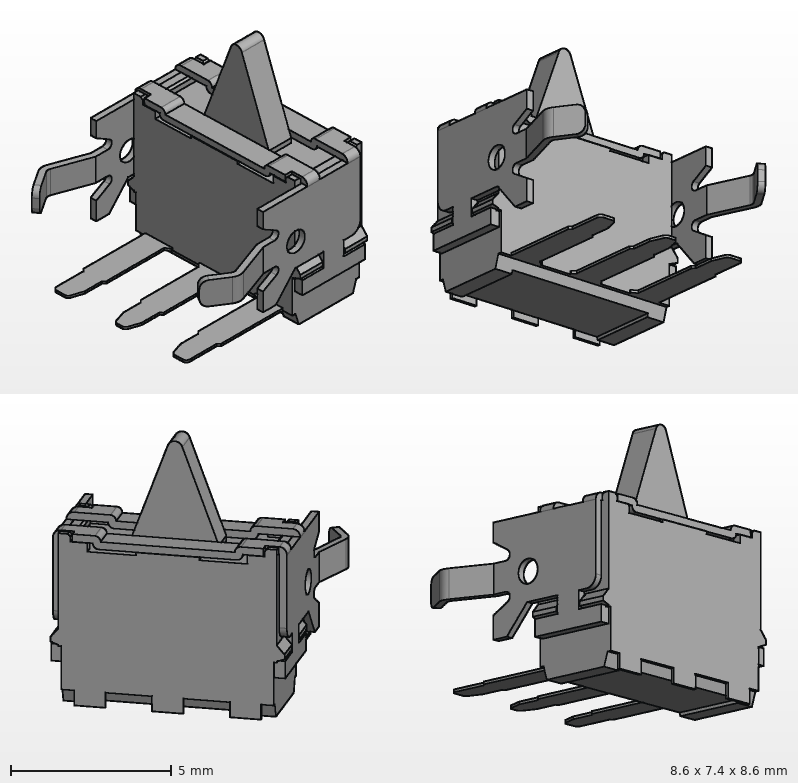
import cadquery as cq
import math


HOUSING_HALF_X = 3.5
HOUSING_HALF_Y = 1.5
BASE_HALF_X = 3.405
BASE_STEP_Z = 1.92
BASE_BOTTOM_Z = 0.035
TAPER_TOP_Z = 0.5
TAPER_TOP_HALF_Y = 1.36
TAPER_BOTTOM_HALF_Y = 1.21
CHANNEL_HALF_X = 2.74
CHANNEL_TOP_Z = 0.155

RIM_TOP_Z = 5.375
FLOOR_Z = 5.09
WALL_OPENING_HALF_X = 2.56
RIM_INNER_X = 3.11
CORNER_DEPTH_Y = 0.28
CORNER_CHAMFER = 0.08
OUTER_PAD_HALF_X = 1.015
INNER_PAD_HALF_X = 0.74

HOOK_INNER_Y = 0.5
HOOK_TOP_Z = 2.485
HOOK_NOSE_TOP_Z = 2.2
HOOK_NOSE_BOTTOM_Z = 2.05
HOOK_BOTTOM_Z = 1.95

LEVER_TOP_Z = 8.6
LEVER_TIP_RADIUS = 0.25
LEVER_HALF_X = 1.41
LEVER_WIDTH_Y = 1.0
LEVER_TAPER_Z = 5.28

TERMINAL_THICKNESS = 0.095
TERMINAL_PITCH = 2.49
TERMINAL_HALF_WIDTH = 0.5
NECK_HALF_WIDTH = 0.4
TIP_HALF_WIDTH = 0.215
MIDDLE_SHOULDER = 0.12
OUTER_SHOULDER = 0.2
SHOULDER_STRAIGHT = 0.06
SHOULDER_LENGTH = 0.17
NECK_START_Y = -4.265
NECK_END_Y = -4.35
TIP_TAPER_Y = -5.13
TERMINAL_END_Y = -5.71
TERMINAL_TIP_RADIUS = 0.155

SHEET = 0.25
FRAME_OUTER_X = HOUSING_HALF_X + SHEET
FRAME_TOP_Z = RIM_TOP_Z + SHEET
STRIP_DROP = 0.19
CRANK_TOP_X = 2.15
CRANK_BOTTOM_X = CRANK_TOP_X + SHEET
STRIP_INNER_Y = 0.62
STRIP_OUTER_Y = 1.47
NOTCH_Y = 1.18
NOTCH_X = 3.06
PLATE_CORNER_RADIUS = 0.4
PLATE_BOTTOM_Z = 2.56
STEM_HALF_Y = 0.45
FOOT_HALF_Y = 1.4
FOOT_TOP_Z = 1.95
FOOT_BOTTOM_Z = 1.385
FORK_END_Y = -3.165
FORK_ROOT_Y = -1.73
FORK_TOE_Y = -2.59
FORK_BOTTOM_Z = 1.6
FORK_NOTCH_Y = -2.65
FORK_NOTCH_RADIUS = 0.18
FORK_NOTCH_ANGLE = math.radians(29)
HOLE_Y = -1.69
HOLE_RADIUS = 0.4

LEAF_Z = 3.55
LEAF_HALF_WIDTH = 0.5
LEAF_END_Y = -5.9
LEAF_OUT_ANGLE = math.radians(20)
LEAF_IN_ANGLE = math.radians(33)
ELBOW_OUTER_RADIUS = 2 * SHEET
ELBOW_X = -4.3 + ELBOW_OUTER_RADIUS
ELBOW_Y = -4.75
LEAF_TIP_RADIUS = 0.3


def box(x0, x1, y0, y1, z0, z1):
    """Block between the given limits."""
    return cq.Workplane("XY").box(x1 - x0, y1 - y0, z1 - z0, centered=False).translate((x0, y0, z0))


def symmetric_box(half_x, half_y, z0, z1):
    """Block centred on the Z axis."""
    return box(-half_x, half_x, -half_y, half_y, z0, z1)


def prism_along_y(points, y0, y1):
    """Outline of (x, z) points swept from y0 to y1."""
    return cq.Workplane("XZ", origin=(0, y1, 0)).polyline(points).close().extrude(y1 - y0)


def both_sides(shape):
    """Shape joined with its mirror image across the YZ plane."""
    return shape.union(shape.mirror("YZ"))


def front_and_rear(shape):
    """Shape joined with its mirror image across the XZ plane."""
    return shape.union(shape.mirror("XZ"))



def housing_block():
    upper = symmetric_box(HOUSING_HALF_X, HOUSING_HALF_Y, BASE_STEP_Z, RIM_TOP_Z)
    lower = symmetric_box(BASE_HALF_X, HOUSING_HALF_Y, TAPER_TOP_Z, BASE_STEP_Z)
    taper = (
        cq.Workplane("YZ", origin=(-BASE_HALF_X, 0, 0))
        .polyline([
            (-TAPER_TOP_HALF_Y, TAPER_TOP_Z),
            (-TAPER_BOTTOM_HALF_Y, BASE_BOTTOM_Z),
            (TAPER_BOTTOM_HALF_Y, BASE_BOTTOM_Z),
            (TAPER_TOP_HALF_Y, TAPER_TOP_Z),
        ])
        .close()
        .extrude(2 * BASE_HALF_X)
    )
    channel = symmetric_box(CHANNEL_HALF_X, HOUSING_HALF_Y, BASE_BOTTOM_Z, CHANNEL_TOP_Z)
    return upper.union(lower).union(taper.cut(channel))


def top_recess():
    """Recess under the strips, open to the front and rear, with a chamfered mouth along X."""
    opening = symmetric_box(WALL_OPENING_HALF_X, HOUSING_HALF_Y, FLOOR_Z, RIM_TOP_Z)
    pocket_half_y = HOUSING_HALF_Y - CORNER_DEPTH_Y
    mouth_x = RIM_INNER_X + CORNER_CHAMFER
    pocket = prism_along_y(
        [
            (-RIM_INNER_X, FLOOR_Z),
            (RIM_INNER_X, FLOOR_Z),
            (RIM_INNER_X, RIM_TOP_Z - CORNER_CHAMFER),
            (mouth_x, RIM_TOP_Z),
            (-mouth_x, RIM_TOP_Z),
            (-RIM_INNER_X, RIM_TOP_Z - CORNER_CHAMFER),
        ],
        -pocket_half_y,
        pocket_half_y,
    )
    return opening.union(pocket)


def corner_posts():
    inner_y = HOUSING_HALF_Y - CORNER_DEPTH_Y
    post = box(RIM_INNER_X, HOUSING_HALF_X, inner_y, HOUSING_HALF_Y, RIM_TOP_Z, FRAME_TOP_Z)
    post = post.faces(">Z").edges("<X or <Y").chamfer(CORNER_CHAMFER)
    return both_sides(front_and_rear(post))


def support_pads():
    pad_top_z = RIM_TOP_Z - STRIP_DROP
    outer = box(
        -OUTER_PAD_HALF_X, OUTER_PAD_HALF_X, STRIP_INNER_Y, HOUSING_HALF_Y, FLOOR_Z, pad_top_z
    )
    inner = symmetric_box(INNER_PAD_HALF_X, STRIP_INNER_Y, FLOOR_Z, pad_top_z)
    return front_and_rear(outer).union(inner)


def snap_hooks():
    profile = [
        (HOUSING_HALF_X, HOOK_TOP_Z),
        (FRAME_OUTER_X, HOOK_NOSE_TOP_Z),
        (FRAME_OUTER_X, HOOK_NOSE_BOTTOM_Z),
        (HOUSING_HALF_X, HOOK_BOTTOM_Z),
    ]
    hook = prism_along_y(profile, HOOK_INNER_Y, HOUSING_HALF_Y)
    return both_sides(front_and_rear(hook))


def lever():
    """Tapered lever whose flanks run tangent into the round tip."""
    tip_z = LEVER_TOP_Z - LEVER_TIP_RADIUS
    flank_height = tip_z - LEVER_TAPER_Z
    reach = math.hypot(LEVER_HALF_X, flank_height)
    flank_angle = math.atan2(LEVER_HALF_X, flank_height) - math.asin(LEVER_TIP_RADIUS / reach)
    tangent_x = LEVER_TIP_RADIUS * math.cos(flank_angle)
    tangent_z = tip_z + LEVER_TIP_RADIUS * math.sin(flank_angle)
    return (
        cq.Workplane("XZ", origin=(0, LEVER_WIDTH_Y / 2, 0))
        .moveTo(-LEVER_HALF_X, FLOOR_Z)
        .lineTo(-LEVER_HALF_X, LEVER_TAPER_Z)
        .lineTo(-tangent_x, tangent_z)
        .threePointArc((0, LEVER_TOP_Z), (tangent_x, tangent_z))
        .lineTo(LEVER_HALF_X, LEVER_TAPER_Z)
        .lineTo(LEVER_HALF_X, FLOOR_Z)
        .close()
        .extrude(LEVER_WIDTH_Y)
    )


def shaped_edge(shoulder):
    """Right-hand blade edge with a shoulder at the housing and a tapered tip."""
    return [
        (TERMINAL_HALF_WIDTH + shoulder, -HOUSING_HALF_Y),
        (TERMINAL_HALF_WIDTH + shoulder, -HOUSING_HALF_Y - SHOULDER_STRAIGHT),
        (TERMINAL_HALF_WIDTH, -HOUSING_HALF_Y - SHOULDER_LENGTH),
        (TERMINAL_HALF_WIDTH, NECK_START_Y),
        (NECK_HALF_WIDTH, NECK_END_Y),
        (NECK_HALF_WIDTH, TIP_TAPER_Y),
        (TIP_HALF_WIDTH, TERMINAL_END_Y),
    ]


def plain_edge():
    """Right-hand blade edge with only the neck step."""
    return [
        (TERMINAL_HALF_WIDTH, -HOUSING_HALF_Y),
        (TERMINAL_HALF_WIDTH, NECK_START_Y),
        (NECK_HALF_WIDTH, NECK_END_Y),
        (NECK_HALF_WIDTH, TERMINAL_END_Y),
    ]


def terminal(left_edge, right_edge):
    """Blade in front of the housing and tail under its rear lip, as two pieces centred on X = 0."""
    outline = right_edge + [(-x, y) for x, y in reversed(left_edge)]
    blade = (
        cq.Workplane("XY", origin=(0, 0, TAPER_TOP_Z))
        .polyline(outline)
        .close()
        .extrude(TERMINAL_THICKNESS)
        .faces("<Y")
        .edges("|Z")
        .fillet(TERMINAL_TIP_RADIUS)
    )
    tail = box(
        -TERMINAL_HALF_WIDTH,
        TERMINAL_HALF_WIDTH,
        HOUSING_HALF_Y - TERMINAL_THICKNESS,
        HOUSING_HALF_Y,
        0,
        TAPER_TOP_Z,
    )
    return [blade, tail]


def terminals():
    outer = shaped_edge(OUTER_SHOULDER)
    middle = shaped_edge(MIDDLE_SHOULDER)
    placed = [
        (-TERMINAL_PITCH, plain_edge(), outer),
        (0, middle, middle),
        (TERMINAL_PITCH, outer, plain_edge()),
    ]
    pieces = []
    for x, left_edge, right_edge in placed:
        pieces += [piece.translate((x, 0, 0)) for piece in terminal(left_edge, right_edge)]
    return pieces


def build_housing():
    housing = housing_block().cut(top_recess())
    for feature in [corner_posts(), support_pads(), snap_hooks(), lever(), *terminals()]:
        housing = housing.union(feature)
    return housing



def strip():
    """Rear top strip: cranked down in the middle and bent over onto both side plates."""
    low_top = FRAME_TOP_Z - STRIP_DROP
    low_bottom = RIM_TOP_Z - STRIP_DROP
    round_mid = STRIP_DROP * math.sqrt(0.5)
    bend_mid = SHEET * math.sqrt(0.5)
    half = (
        cq.Workplane("XZ", origin=(0, STRIP_OUTER_Y, 0))
        .moveTo(0, low_bottom)
        .lineTo(CRANK_BOTTOM_X - STRIP_DROP, low_bottom)
        .threePointArc(
            (CRANK_BOTTOM_X - STRIP_DROP + round_mid, RIM_TOP_Z - round_mid),
            (CRANK_BOTTOM_X, RIM_TOP_Z),
        )
        .lineTo(FRAME_OUTER_X, RIM_TOP_Z)
        .threePointArc(
            (HOUSING_HALF_X + bend_mid, RIM_TOP_Z + bend_mid),
            (HOUSING_HALF_X, FRAME_TOP_Z),
        )
        .lineTo(CRANK_TOP_X + STRIP_DROP, FRAME_TOP_Z)
        .threePointArc(
            (CRANK_TOP_X + STRIP_DROP - round_mid, low_top + round_mid),
            (CRANK_TOP_X, low_top),
        )
        .lineTo(0, low_top)
        .close()
        .extrude(STRIP_OUTER_Y - STRIP_INNER_Y)
    )
    notch = box(NOTCH_X, FRAME_OUTER_X, NOTCH_Y, STRIP_OUTER_Y, RIM_TOP_Z, FRAME_TOP_Z)
    return both_sides(half.cut(notch))


def fork_notch():
    """Notch between the leaf and the upper fork arm, with a round end."""
    leaf_top = LEAF_Z + LEAF_HALF_WIDTH
    centre_z = leaf_top + FORK_NOTCH_RADIUS
    tangent_y = FORK_NOTCH_Y + FORK_NOTCH_RADIUS * math.sin(FORK_NOTCH_ANGLE)
    tangent_z = centre_z + FORK_NOTCH_RADIUS * math.cos(FORK_NOTCH_ANGLE)
    arm_z = tangent_z + (tangent_y - FORK_END_Y) * math.tan(FORK_NOTCH_ANGLE)
    return (
        cq.Workplane("YZ", origin=(-FRAME_OUTER_X, 0, 0))
        .moveTo(FORK_END_Y, leaf_top)
        .lineTo(FORK_NOTCH_Y, leaf_top)
        .threePointArc((FORK_NOTCH_Y + FORK_NOTCH_RADIUS, centre_z), (tangent_y, tangent_z))
        .lineTo(FORK_END_Y, arm_z)
        .close()
        .extrude(SHEET)
    )


def side_plate():
    """Left side plate with its fork, round hole, stem and foot."""
    corner_mid = PLATE_CORNER_RADIUS * (1 - math.sqrt(0.5))
    plate = (
        cq.Workplane("YZ", origin=(-FRAME_OUTER_X, 0, 0))
        .moveTo(FORK_END_Y, RIM_TOP_Z)
        .lineTo(NOTCH_Y, RIM_TOP_Z)
        .lineTo(NOTCH_Y, PLATE_BOTTOM_Z + PLATE_CORNER_RADIUS)
        .threePointArc(
            (NOTCH_Y - corner_mid, PLATE_BOTTOM_Z + corner_mid),
            (NOTCH_Y - PLATE_CORNER_RADIUS, PLATE_BOTTOM_Z),
        )
        .lineTo(STEM_HALF_Y, PLATE_BOTTOM_Z)
        .lineTo(STEM_HALF_Y, FOOT_TOP_Z)
        .lineTo(FOOT_HALF_Y, FOOT_TOP_Z)
        .lineTo(FOOT_HALF_Y, FOOT_BOTTOM_Z)
        .lineTo(-FOOT_HALF_Y, FOOT_BOTTOM_Z)
        .lineTo(-FOOT_HALF_Y, FOOT_TOP_Z)
        .lineTo(-STEM_HALF_Y, FOOT_TOP_Z)
        .lineTo(-STEM_HALF_Y, PLATE_BOTTOM_Z)
        .lineTo(FORK_ROOT_Y, PLATE_BOTTOM_Z)
        .lineTo(FORK_TOE_Y, FORK_BOTTOM_Z)
        .lineTo(FORK_END_Y, FORK_BOTTOM_Z)
        .close()
        .extrude(SHEET)
    )
    foot_pad = box(
        -HOUSING_HALF_X, -BASE_HALF_X, -FOOT_HALF_Y, FOOT_HALF_Y, FOOT_BOTTOM_Z, BASE_STEP_Z
    )
    hole = (
        cq.Workplane("YZ", origin=(-FRAME_OUTER_X, 0, 0))
        .center(HOLE_Y, LEAF_Z)
        .circle(HOLE_RADIUS)
        .extrude(SHEET)
    )
    upper_notch = fork_notch()
    lower_notch = upper_notch.mirror("XY", (0, 0, LEAF_Z))
    return plate.union(foot_pad).cut(hole).cut(upper_notch).cut(lower_notch)


def leaf():
    """Left spring leaf: swings outward from the plate, then back in past a round elbow."""

    def elbow_point(radius, angle):
        return (ELBOW_X - radius * math.cos(angle), ELBOW_Y + radius * math.sin(angle))

    inner_radius = ELBOW_OUTER_RADIUS - SHEET
    outer_out = elbow_point(ELBOW_OUTER_RADIUS, LEAF_OUT_ANGLE)
    outer_in = elbow_point(ELBOW_OUTER_RADIUS, -LEAF_IN_ANGLE)
    inner_out = elbow_point(inner_radius, LEAF_OUT_ANGLE)
    inner_in = elbow_point(inner_radius, -LEAF_IN_ANGLE)

    outer_root_y = outer_out[1] + (outer_out[0] + FRAME_OUTER_X) / -math.tan(LEAF_OUT_ANGLE)
    inner_root_y = inner_out[1] + (inner_out[0] + HOUSING_HALF_X) / -math.tan(LEAF_OUT_ANGLE)
    outer_tip = (
        outer_in[0] + (outer_in[1] - LEAF_END_Y) * math.tan(LEAF_IN_ANGLE),
        LEAF_END_Y,
    )
    inner_tip = (
        outer_tip[0] + SHEET * math.cos(LEAF_IN_ANGLE),
        outer_tip[1] + SHEET * math.sin(LEAF_IN_ANGLE),
    )
    return (
        cq.Workplane("XY", origin=(0, 0, LEAF_Z - LEAF_HALF_WIDTH))
        .moveTo(-FRAME_OUTER_X, FORK_END_Y)
        .lineTo(-FRAME_OUTER_X, outer_root_y)
        .lineTo(*outer_out)
        .threePointArc(elbow_point(ELBOW_OUTER_RADIUS, 0), outer_in)
        .lineTo(*outer_tip)
        .lineTo(*inner_tip)
        .lineTo(*inner_in)
        .threePointArc(elbow_point(inner_radius, 0), inner_out)
        .lineTo(-HOUSING_HALF_X, inner_root_y)
        .lineTo(-HOUSING_HALF_X, FORK_END_Y)
        .close()
        .extrude(2 * LEAF_HALF_WIDTH)
        .faces("<Y")
        .edges("not |Z")
        .fillet(LEAF_TIP_RADIUS)
    )


def build_frame():
    left_side = side_plate().union(leaf())
    return both_sides(left_side).union(front_and_rear(strip()))


housing = build_housing()
frame = build_frame()
result = cq.Compound.makeCompound([housing.solids().val(), frame.solids().val()])